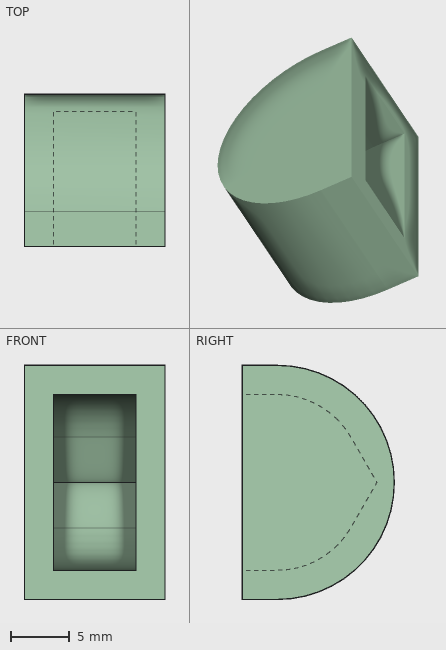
import cadquery as cq
import math

width = 12.0
height = 20.0
straight_depth = 3.0
outer_radius = height / 2

wall = 2.5
pocket_width = 7.0
pocket_half_height = outer_radius - wall
arc_rise = 0.25
arc_radius = pocket_half_height - arc_rise

flat_angle = math.radians(30)
tangent_y = arc_radius * math.cos(flat_angle)
tangent_z = arc_rise + arc_radius * math.sin(flat_angle)
ridge_y = tangent_y + tangent_z * math.tan(flat_angle)
mid_arc_angle = (flat_angle + math.pi / 2) / 2
mid_arc_y = arc_radius * math.cos(mid_arc_angle)
mid_arc_z = arc_rise + arc_radius * math.sin(mid_arc_angle)


def make_body():
    """D-shaped profile in the YZ plane, arc centre at the origin."""
    return (
        cq.Workplane("YZ")
        .moveTo(-straight_depth, -outer_radius)
        .lineTo(0, -outer_radius)
        .threePointArc((outer_radius, 0), (0, outer_radius))
        .lineTo(-straight_depth, outer_radius)
        .close()
        .extrude(width / 2, both=True)
    )


def make_pocket():
    """Cavity profile: straight sides, two arcs and two flats meeting at a ridge."""
    return (
        cq.Workplane("YZ")
        .moveTo(-straight_depth, -pocket_half_height)
        .lineTo(0, -pocket_half_height)
        .threePointArc((mid_arc_y, -mid_arc_z), (tangent_y, -tangent_z))
        .lineTo(ridge_y, 0)
        .lineTo(tangent_y, tangent_z)
        .threePointArc((mid_arc_y, mid_arc_z), (0, pocket_half_height))
        .lineTo(-straight_depth, pocket_half_height)
        .close()
        .extrude(pocket_width / 2, both=True)
    )


result = make_body().cut(make_pocket())